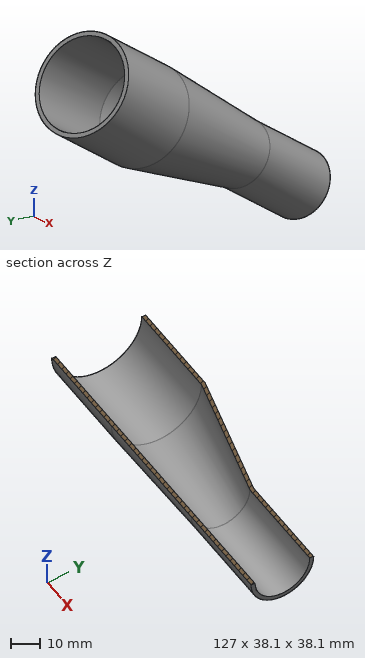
import cadquery as cq

total_length = 127.0
large_diameter = 38.1
small_diameter = 25.4
wall = 1.7
large_end_length = 38.1
small_end_length = 38.1
taper_length = total_length - large_end_length - small_end_length

small_end_offset = -(large_diameter - small_diameter) / 2


def reducer_body(large_dia, small_dia):
    """Solid with the outline of the reducer, running along +X from the large end at X = 0."""
    large_end = cq.Workplane("YZ").circle(large_dia / 2).extrude(large_end_length)
    taper = (
        cq.Workplane("YZ", origin=(large_end_length, 0, 0))
        .circle(large_dia / 2)
        .workplane(offset=taper_length)
        .center(small_end_offset, 0)
        .circle(small_dia / 2)
        .loft(ruled=True)
    )
    small_end = (
        cq.Workplane("YZ", origin=(large_end_length + taper_length, small_end_offset, 0))
        .circle(small_dia / 2)
        .extrude(small_end_length)
    )
    return large_end.union(taper).union(small_end)


outside = reducer_body(large_diameter, small_diameter)
bore = reducer_body(large_diameter - 2 * wall, small_diameter - 2 * wall)

result = outside.cut(bore)